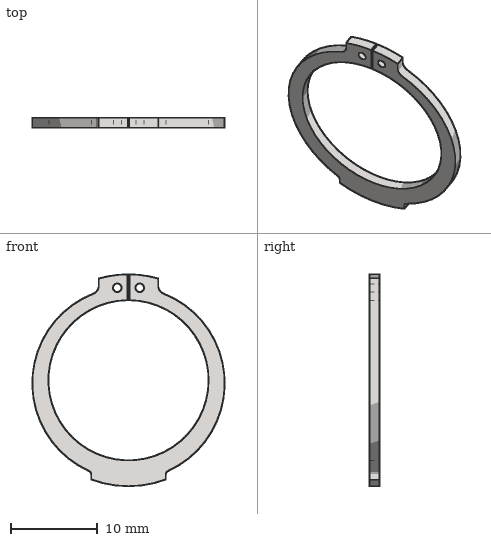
import cadquery as cq
import math

thickness = 1.2
bore_radius = 9.24
lug_radius = 12.25
body_radius = 11.12
body_drop = 0.35

top_lug_width = 6.88
top_fillet = 1.0
bottom_lug_width = 8.62
bottom_fillet = 0.5

gap_width = 0.2
hole_diameter = 0.95
hole_spacing = 2.6
hole_height = 10.68


def disc(radius, center_z=0):
    """Disc of the ring thickness, centred on the XZ plane."""
    return (
        cq.Workplane("XZ")
        .center(0, center_z)
        .circle(radius)
        .extrude(thickness / 2, both=True)
    )


def lug(width, side):
    """Straight-sided lug with a round end; side is +1 for top, -1 for bottom."""
    block = cq.Workplane("XY").box(width, thickness, lug_radius)
    block = block.translate((0, 0, side * lug_radius / 2))
    return disc(lug_radius).intersect(block)


def fillet_lug_roots(blank, width, side, radius):
    """Round the two inside corners where a lug meets the body."""
    half_width = width / 2
    root_z = -body_drop + side * math.sqrt(body_radius**2 - half_width**2)
    for root_x in (-half_width, half_width):
        corner = cq.selectors.NearestToPointSelector((root_x, 0, root_z))
        blank = blank.edges("|Y").edges(corner).fillet(radius)
    return blank


blank = disc(body_radius, -body_drop)
lugs = ((top_lug_width, 1, top_fillet), (bottom_lug_width, -1, bottom_fillet))
for width, side, _ in lugs:
    blank = blank.union(lug(width, side))
for width, side, radius in lugs:
    blank = fillet_lug_roots(blank, width, side, radius)

gap = cq.Workplane("XY").box(gap_width, thickness, lug_radius)
gap = gap.translate((0, 0, lug_radius / 2))
result = blank.cut(disc(bore_radius)).cut(gap)

for hole_x in (-hole_spacing / 2, hole_spacing / 2):
    result = result.cut(disc(hole_diameter / 2, hole_height).translate((hole_x, 0, 0)))